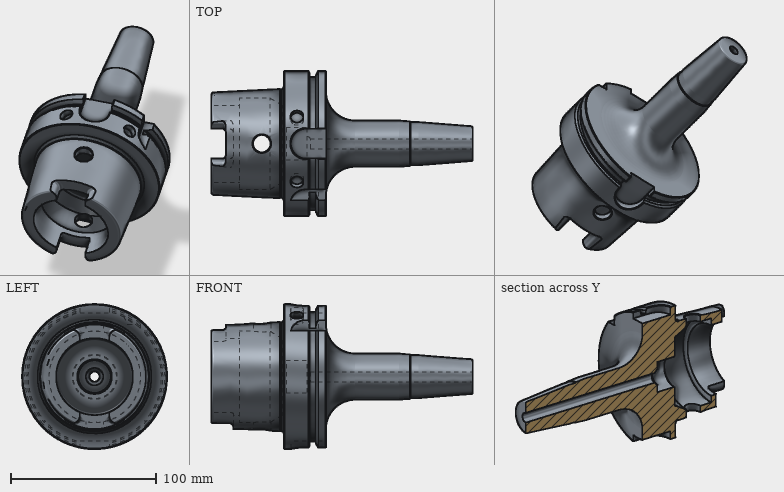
import cadquery as cq
import math


TOTAL_LENGTH = 180.0
TAPER_LENGTH = 50.0
TAPER_MAJOR_RADIUS = 75.36 / 2
TAPER_RADIAL_SLOPE = 0.05
TAPER_END_ROUND = 2.0
TAPER_END = -TAPER_LENGTH

RELIEF_START = -2.8
RELIEF_FLOOR_START = -2.3
RELIEF_FLOOR_END = -1.6
RELIEF_SHOULDER = -1.0
RELIEF_DEPTH = 0.4
RELIEF_SHOULDER_RADIUS = 37.8
RELIEF_ROOT_RADIUS = 39.2

FLANGE_RADIUS = 50.0
FLANGE_WIDTH = 29.0
FLANGE_CHAMFER = 0.5
GROOVE_FLOOR_RADIUS = 45.9
GROOVE_START = 16.9
GROOVE_FLOOR_START = 17.9
GROOVE_FLOOR_END = 21.8
GROOVE_END = 23.6
GROOVE_WALL_SLOPE = math.tan(math.radians(60))

NOSE_END = TOTAL_LENGTH - TAPER_LENGTH
NECK_RADIUS = 16.0
NECK_FILLET = 20.0
NOSE_START = 79.1
NOSE_SLOPE = math.tan(math.radians(4.5))
NOSE_STEP_START = 86.8
NOSE_STEP_END = 87.2
NOSE_BAND_END = 92.7
NOSE_TIP_ROUND = 1.3

MOUTH_RADIUS = 53.0 / 2
MOUTH_DEPTH = 19.4
UNDERCUT_RADIUS = 63.0 / 2
UNDERCUT_END = -9.8
UNDERCUT_CONE_SLOPE = math.tan(math.radians(30))
CAVITY_FLOOR_FILLET = 1.8

RECESS_MOUTH_RADIUS = 12.0
RECESS_RADIUS = 22.38 / 2
RECESS_DEPTH = 15.0
FUNNEL_RADIUS = 12.0 / 2
THROUGH_RADIUS = 6.92 / 2

RIM_SLOT_HALF_WIDTH = 10.2
RIM_SLOT_DEPTH_TOP = 10.0
RIM_SLOT_DEPTH_BOTTOM = 15.0
RIM_SLOT_LIP_ROUND = 5.0
RIM_SLOT_LIP_HEIGHT = 27.1
RIM_SLOT_FLOOR_FILLET = 2.4

WALL_HOLE_RADIUS = 12.0 / 2
WALL_HOLE_X = -15.2

KEYWAY_RADIUS = 10.2
KEYWAY_CENTER_X = 15.0
KEYWAY_FLOOR = 44.0
NOTCH_RADIUS = 10.8
NOTCH_OFFSET = 31.5

RIM_HOLE_RADIUS = 9.0 / 2
RIM_HOLE_DEPTH = 4.6
RIM_HOLE_X = 9.0
FLAT_HOLE_ANGLE = 22.0
DRILLED_HOLE_ANGLE = -32.0
DRILL_TIP_ANGLE = 118.0

EDGE_CHAMFER = 0.5
DIAGONAL = math.sqrt(0.5)

CLEARANCE = 0.5


def taper_radius(x):
    return TAPER_MAJOR_RADIUS + TAPER_RADIAL_SLOPE * (x - RELIEF_START)


def nose_radius(x):
    return NECK_RADIUS - NOSE_SLOPE * (x - NOSE_START)


def turned(profile):
    return profile.close().revolve(360, (0, 0, 0), (1, 0, 0))


def half_turn(shape):
    return shape.rotate((0, 0, 0), (1, 0, 0), 180)


def outer_body():
    taper_round_end = TAPER_END + TAPER_END_ROUND
    taper_end_radius = taper_radius(taper_round_end)
    taper_round_center = taper_end_radius - TAPER_END_ROUND
    relief_radius = TAPER_MAJOR_RADIUS - RELIEF_DEPTH
    groove_left_radius = FLANGE_RADIUS - GROOVE_WALL_SLOPE * (GROOVE_FLOOR_START - GROOVE_START)
    groove_right_radius = FLANGE_RADIUS - GROOVE_WALL_SLOPE * (GROOVE_END - GROOVE_FLOOR_END)
    fillet_x = FLANGE_WIDTH + NECK_FILLET
    fillet_radius = NECK_RADIUS + NECK_FILLET
    band_radius = nose_radius(NOSE_BAND_END)
    tip_round_x = NOSE_END - NOSE_TIP_ROUND
    tip_radius = nose_radius(tip_round_x)
    tip_round_center = tip_radius - NOSE_TIP_ROUND
    return turned(
        cq.Workplane("XY")
        .moveTo(TAPER_END, 0)
        .lineTo(TAPER_END, taper_round_center)
        .threePointArc(
            (taper_round_end - DIAGONAL * TAPER_END_ROUND, taper_round_center + DIAGONAL * TAPER_END_ROUND),
            (taper_round_end, taper_end_radius),
        )
        .lineTo(RELIEF_START, TAPER_MAJOR_RADIUS)
        .lineTo(RELIEF_FLOOR_START, relief_radius)
        .lineTo(RELIEF_FLOOR_END, relief_radius)
        .lineTo(RELIEF_SHOULDER, RELIEF_SHOULDER_RADIUS)
        .lineTo(0, RELIEF_ROOT_RADIUS)
        .lineTo(0, FLANGE_RADIUS - FLANGE_CHAMFER)
        .lineTo(FLANGE_CHAMFER, FLANGE_RADIUS)
        .lineTo(GROOVE_START, FLANGE_RADIUS)
        .lineTo(GROOVE_FLOOR_START, groove_left_radius)
        .lineTo(GROOVE_FLOOR_START, GROOVE_FLOOR_RADIUS)
        .lineTo(GROOVE_FLOOR_END, GROOVE_FLOOR_RADIUS)
        .lineTo(GROOVE_FLOOR_END, groove_right_radius)
        .lineTo(GROOVE_END, FLANGE_RADIUS)
        .lineTo(FLANGE_WIDTH - FLANGE_CHAMFER, FLANGE_RADIUS)
        .lineTo(FLANGE_WIDTH, FLANGE_RADIUS - FLANGE_CHAMFER)
        .lineTo(FLANGE_WIDTH, fillet_radius)
        .threePointArc(
            (fillet_x - DIAGONAL * NECK_FILLET, fillet_radius - DIAGONAL * NECK_FILLET),
            (fillet_x, NECK_RADIUS),
        )
        .lineTo(NOSE_START, NECK_RADIUS)
        .lineTo(NOSE_STEP_START, nose_radius(NOSE_STEP_START))
        .lineTo(NOSE_STEP_END, band_radius)
        .lineTo(NOSE_BAND_END, band_radius)
        .lineTo(tip_round_x, tip_radius)
        .threePointArc(
            (tip_round_x + DIAGONAL * NOSE_TIP_ROUND, tip_round_center + DIAGONAL * NOSE_TIP_ROUND),
            (NOSE_END, tip_round_center),
        )
        .lineTo(NOSE_END, 0)
    )


def inner_space():
    shoulder = TAPER_END + MOUTH_DEPTH
    cone_end = UNDERCUT_END + (UNDERCUT_RADIUS - MOUTH_RADIUS) / UNDERCUT_CONE_SLOPE
    floor = cone_end + CAVITY_FLOOR_FILLET
    floor_radius = MOUTH_RADIUS - CAVITY_FLOOR_FILLET
    recess_floor = floor + RECESS_DEPTH
    return turned(
        cq.Workplane("XY")
        .moveTo(TAPER_END, 0)
        .lineTo(TAPER_END, MOUTH_RADIUS)
        .lineTo(shoulder, MOUTH_RADIUS)
        .lineTo(shoulder, UNDERCUT_RADIUS)
        .lineTo(UNDERCUT_END, UNDERCUT_RADIUS)
        .lineTo(cone_end, MOUTH_RADIUS)
        .threePointArc(
            (cone_end + DIAGONAL * CAVITY_FLOOR_FILLET, floor_radius + DIAGONAL * CAVITY_FLOOR_FILLET),
            (floor, floor_radius),
        )
        .lineTo(floor, RECESS_MOUTH_RADIUS)
        .lineTo(floor + RECESS_MOUTH_RADIUS - RECESS_RADIUS, RECESS_RADIUS)
        .lineTo(recess_floor, RECESS_RADIUS)
        .lineTo(recess_floor, FUNNEL_RADIUS)
        .lineTo(recess_floor + FUNNEL_RADIUS - THROUGH_RADIUS, THROUGH_RADIUS)
        .lineTo(NOSE_END, THROUGH_RADIUS)
        .lineTo(NOSE_END, 0)
    )


def rim_slot(depth):
    """Slot through the +Z side of the rim, flaring outwards over rounded lips."""
    half_width = RIM_SLOT_HALF_WIDTH
    lip_start = RIM_SLOT_LIP_HEIGHT
    lip_top = lip_start + RIM_SLOT_LIP_ROUND
    flare = half_width + RIM_SLOT_LIP_ROUND
    lip_mid_y = flare - DIAGONAL * RIM_SLOT_LIP_ROUND
    lip_mid_z = lip_start + DIAGONAL * RIM_SLOT_LIP_ROUND
    slot = (
        cq.Workplane("YZ", origin=(TAPER_END, 0, 0))
        .moveTo(-half_width, 0)
        .lineTo(-half_width, lip_start)
        .threePointArc((-lip_mid_y, lip_mid_z), (-flare, lip_top))
        .lineTo(-FLANGE_RADIUS, lip_top)
        .lineTo(-FLANGE_RADIUS, FLANGE_RADIUS)
        .lineTo(FLANGE_RADIUS, FLANGE_RADIUS)
        .lineTo(FLANGE_RADIUS, lip_top)
        .lineTo(flare, lip_top)
        .threePointArc((lip_mid_y, lip_mid_z), (half_width, lip_start))
        .lineTo(half_width, 0)
        .close()
        .extrude(depth)
    )
    floor_x = TAPER_END + depth
    inset = FLANGE_RADIUS - CLEARANCE
    wall_edges = cq.selectors.BoxSelector(
        (floor_x - CLEARANCE, -inset, CLEARANCE), (floor_x + CLEARANCE, inset, inset)
    )
    return slot.edges(wall_edges).fillet(RIM_SLOT_FLOOR_FILLET)


def keyway(center_y, floor, radius):
    """Slot with one round end, open at the neck side of the flange."""
    plane = cq.Workplane("XY", origin=(KEYWAY_CENTER_X, center_y, floor))
    straight = plane.rect(FLANGE_WIDTH, 2 * radius).extrude(FLANGE_RADIUS)
    straight = straight.translate((FLANGE_WIDTH / 2, 0, 0))
    return plane.circle(radius).extrude(FLANGE_RADIUS).union(straight)


def keyway_rim_edges():
    """The edges where the +Z keyway meets the rim of the flange."""
    side_height = math.sqrt(FLANGE_RADIUS**2 - KEYWAY_RADIUS**2)
    half_width = KEYWAY_RADIUS + CLEARANCE
    return cq.selectors.BoxSelector(
        (0, -half_width, side_height - CLEARANCE),
        (FLANGE_WIDTH - FLANGE_CHAMFER, half_width, FLANGE_RADIUS + CLEARANCE),
    )


def wall_hole_rim_edges():
    """The edge where the +Z wall hole meets the outside of the taper."""
    return cq.selectors.BoxSelector(
        (WALL_HOLE_X - WALL_HOLE_RADIUS, -WALL_HOLE_RADIUS, UNDERCUT_RADIUS + CLEARANCE),
        (WALL_HOLE_X + WALL_HOLE_RADIUS, WALL_HOLE_RADIUS, FLANGE_RADIUS),
    )


def wall_hole():
    return cq.Workplane("XY", origin=(WALL_HOLE_X, 0, 0)).circle(WALL_HOLE_RADIUS).extrude(FLANGE_RADIUS)


def rim_hole(angle, tip_depth):
    """Radial blind hole ending in a drill tip; a tip depth of zero leaves a flat floor."""
    floor = FLANGE_RADIUS - RIM_HOLE_DEPTH
    profile = cq.Workplane("XZ", origin=(RIM_HOLE_X, 0, 0)).moveTo(0, floor - tip_depth)
    hole = (
        profile.lineTo(RIM_HOLE_RADIUS, floor)
        .lineTo(RIM_HOLE_RADIUS, FLANGE_RADIUS + CLEARANCE)
        .lineTo(0, FLANGE_RADIUS + CLEARANCE)
        .close()
        .revolve(360, (0, 0, 0), (0, 1, 0))
    )
    return hole.rotate((0, 0, 0), (1, 0, 0), -angle)


result = outer_body().cut(inner_space())

result = result.cut(rim_slot(RIM_SLOT_DEPTH_TOP))
result = result.cut(half_turn(rim_slot(RIM_SLOT_DEPTH_BOTTOM)))

for side in range(2):
    result = result.cut(keyway(0, KEYWAY_FLOOR, KEYWAY_RADIUS)).cut(wall_hole())
    result = result.edges(keyway_rim_edges()).chamfer(EDGE_CHAMFER)
    result = result.edges(wall_hole_rim_edges()).chamfer(EDGE_CHAMFER)
    result = half_turn(result)

result = result.cut(keyway(-NOTCH_OFFSET - NOTCH_RADIUS, NOTCH_OFFSET, NOTCH_RADIUS))

drill_tip_depth = RIM_HOLE_RADIUS / math.tan(math.radians(DRILL_TIP_ANGLE / 2))
result = result.cut(rim_hole(FLAT_HOLE_ANGLE, 0))
result = result.cut(rim_hole(DRILLED_HOLE_ANGLE, drill_tip_depth))